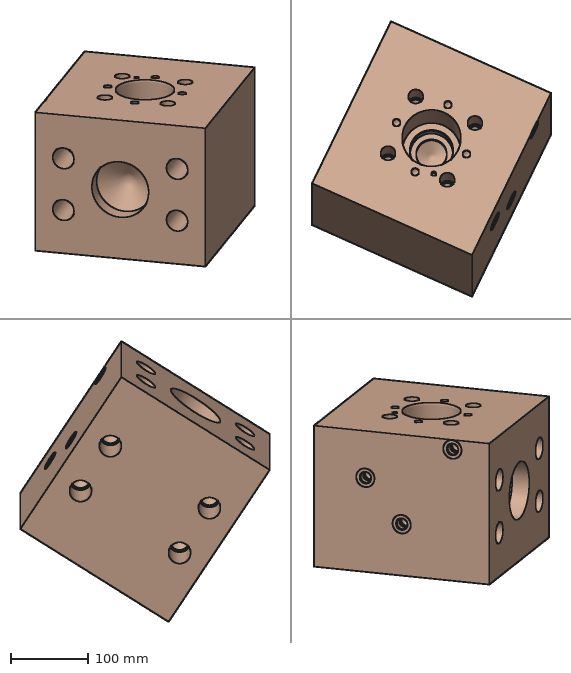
import cadquery as cq
import math

LENGTH_X = 228.5
LENGTH_Y = 241.3
HEIGHT = 190.5
LEFT = -LENGTH_X / 2
FRONT = -LENGTH_Y / 2
TOP = HEIGHT / 2
BOTTOM = -HEIGHT / 2

DRILL_POINT_ANGLE = 118.0

CAVITY_MOUTH_DIAMETER = 76.3
CAVITY_MOUTH_DEPTH = 3.0
CAVITY_BORE_DIAMETER = 75.0
CAVITY_BORE_DEPTH = 58.0
CAVITY_SEAT_MOUTH_DIAMETER = 56.5
CAVITY_SEAT_MOUTH_DEPTH = 59.8
CAVITY_SEAT_DIAMETER = 55.0
CAVITY_SEAT_DEPTH = 72.5
CAVITY_PILOT_DIAMETER = 39.5
CAVITY_PILOT_DEPTH = 77.2

COVER_SCREW_OFFSET = 42.2
COVER_THREAD_DIAMETER = 19.0
COVER_DRILL_DIAMETER = 16.6
COVER_THREAD_DEPTH = 36.2
COVER_DRILL_DEPTH = 43.5
CONTROL_HOLE_RADIUS = 50.0
CONTROL_HOLE_DIAMETER = 10.0
CONTROL_HOLE_DEPTH = 3.0
PIN_X = -23.0
PIN_Y = 42.2
PIN_DIAMETER = 6.0
PIN_DEPTH = 8.0

PORT_DIAMETER = 76.3
PORT_DEPTH = 23.5
FLANGE_LONG_SPACING = 152.5
FLANGE_SHORT_SPACING = 71.2
FLANGE_THREAD_DIAMETER = 28.5
FLANGE_DRILL_DIAMETER = 25.0
FLANGE_THREAD_DEPTH = 60.3
FRONT_DRILL_DEPTH = 69.7
BOTTOM_DRILL_DEPTH = 65.6

PILOT_PORTS = [(50.0, 31.9), (-69.7, 82.0), (0.0, -25.8)]
SPOTFACE_DIAMETER = 25.0
SPOTFACE_DEPTH = 0.7
PILOT_MOUTH_DIAMETER = 16.0
PILOT_THREAD_DIAMETER = 14.2
PILOT_DRILL_DIAMETER = 12.3
PILOT_MOUTH_DEPTH = 2.5
PILOT_THREAD_DEPTH = 12.0
PILOT_DRILL_DEPTH = 17.0


def drilled_hole(steps):
    """Stepped hole along -Z from the origin, closed by a conical drill point.

    steps lists, from the mouth inwards, (diameter, end depth) for a straight step
    or (mouth diameter, end depth, end diameter) for a tapered one.
    """
    points = [(0, 0)]
    depth = 0
    for diameter, end_depth, *taper in steps:
        end_radius = (taper[0] if taper else diameter) / 2
        mouth = (diameter / 2, -depth)
        if mouth != points[-1]:
            points.append(mouth)
        points.append((end_radius, -end_depth))
        depth = end_depth
    point_height = end_radius / math.tan(math.radians(DRILL_POINT_ANGLE / 2))
    points.append((0, -depth - point_height))
    return cq.Workplane("XZ").polyline(points).close().revolve(360, (0, 0), (0, 1))


def from_top(hole, x, y):
    return hole.translate((x, y, TOP))


def from_bottom(hole, x, y):
    return hole.rotate((0, 0, 0), (1, 0, 0), 180).translate((x, y, BOTTOM))


def from_front(hole, x, z):
    return hole.rotate((0, 0, 0), (1, 0, 0), 90).translate((x, FRONT, z))


def from_left(hole, y, z):
    return hole.rotate((0, 0, 0), (0, 1, 0), -90).translate((LEFT, y, z))


def corners(spacing_u, spacing_v):
    return [(u * spacing_u / 2, v * spacing_v / 2) for u in (-1, 1) for v in (-1, 1)]


result = cq.Workplane("XY").box(LENGTH_X, LENGTH_Y, HEIGHT)

cavity = drilled_hole([
    (CAVITY_MOUTH_DIAMETER, CAVITY_MOUTH_DEPTH, CAVITY_BORE_DIAMETER),
    (CAVITY_BORE_DIAMETER, CAVITY_BORE_DEPTH),
    (CAVITY_SEAT_MOUTH_DIAMETER, CAVITY_SEAT_MOUTH_DEPTH, CAVITY_SEAT_DIAMETER),
    (CAVITY_SEAT_DIAMETER, CAVITY_SEAT_DEPTH),
    (CAVITY_PILOT_DIAMETER, CAVITY_PILOT_DEPTH),
])
result = result.cut(from_top(cavity, 0, 0))

cover_screw = drilled_hole([
    (COVER_THREAD_DIAMETER, COVER_THREAD_DEPTH),
    (COVER_DRILL_DIAMETER, COVER_DRILL_DEPTH),
])
for x, y in corners(2 * COVER_SCREW_OFFSET, 2 * COVER_SCREW_OFFSET):
    result = result.cut(from_top(cover_screw, x, y))

control_hole = drilled_hole([(CONTROL_HOLE_DIAMETER, CONTROL_HOLE_DEPTH)])
for x_side, y_side in [(1, 0), (0, 1), (-1, 0), (0, -1)]:
    x = x_side * CONTROL_HOLE_RADIUS
    y = y_side * CONTROL_HOLE_RADIUS
    result = result.cut(from_top(control_hole, x, y))

pin_hole = drilled_hole([(PIN_DIAMETER, PIN_DEPTH)])
result = result.cut(from_top(pin_hole, PIN_X, PIN_Y))

port = drilled_hole([(PORT_DIAMETER, PORT_DEPTH)])
result = result.cut(from_front(port, 0, 0))

front_screw = drilled_hole([
    (FLANGE_THREAD_DIAMETER, FLANGE_THREAD_DEPTH),
    (FLANGE_DRILL_DIAMETER, FRONT_DRILL_DEPTH),
])
bottom_screw = drilled_hole([
    (FLANGE_THREAD_DIAMETER, FLANGE_THREAD_DEPTH),
    (FLANGE_DRILL_DIAMETER, BOTTOM_DRILL_DEPTH),
])
for x, offset in corners(FLANGE_LONG_SPACING, FLANGE_SHORT_SPACING):
    result = result.cut(from_front(front_screw, x, offset))
    result = result.cut(from_bottom(bottom_screw, x, offset))

pilot_port = drilled_hole([
    (SPOTFACE_DIAMETER, SPOTFACE_DEPTH),
    (PILOT_MOUTH_DIAMETER, PILOT_MOUTH_DEPTH, PILOT_THREAD_DIAMETER),
    (PILOT_THREAD_DIAMETER, PILOT_THREAD_DEPTH),
    (PILOT_DRILL_DIAMETER, PILOT_DRILL_DEPTH),
])
for y, z in PILOT_PORTS:
    result = result.cut(from_left(pilot_port, y, z))